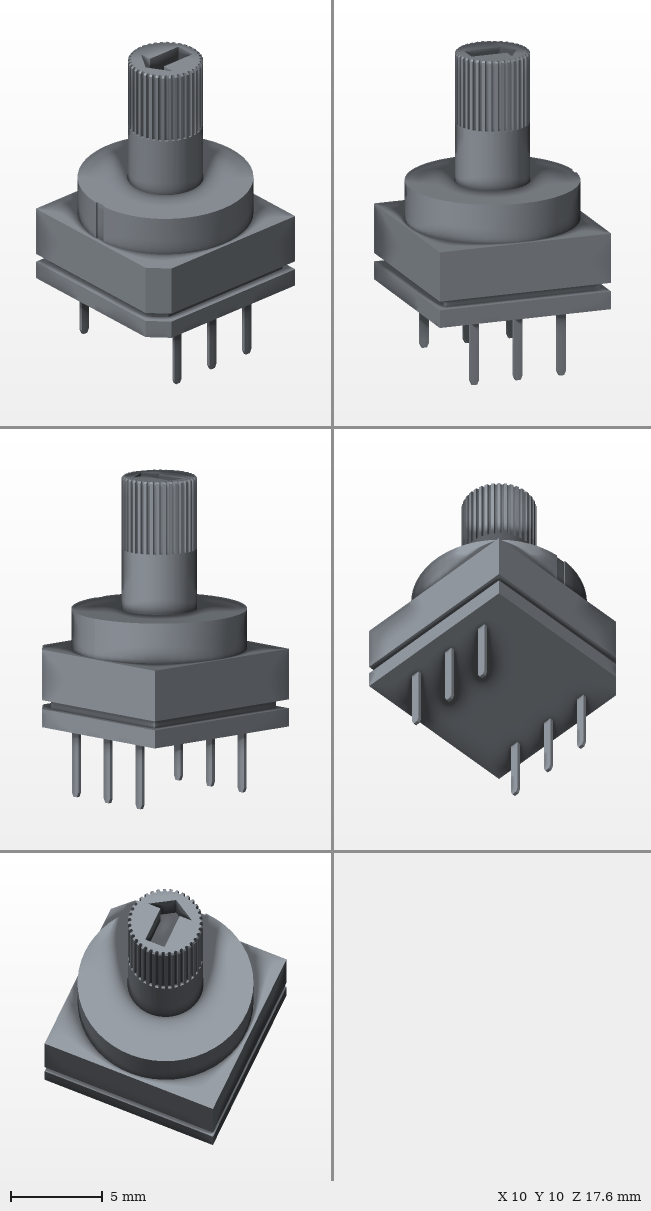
import cadquery as cq

body_side = 10.0
corner_cut = 1.0
base_height = 1.0
groove_height = 0.5
groove_depth = 0.5
block_height = 2.8

dial_diameter = 9.57
dial_height = 2.2
notch_width = 0.6
notch_depth = 0.1

shaft_diameter = 4.1
shaft_hole_diameter = 4.15
plain_shaft_height = 3.3
total_height = 17.6
shaft_chamfer = 0.09

flute_count = 36
flute_width = 0.2
flute_depth = 0.2

arrow_length = 2.89
arrow_stem_width = 1.15
arrow_head_width = 2.6
arrow_head_length = 0.81
arrow_depth = 1.5

pin_thickness = 0.2
pin_width = 0.51
pin_length = 3.8
pin_tip_width = 0.28
pin_tip_height = 0.25
pin_pitch = 2.53
pin_row_spacing = 7.6
pins_per_row = 3

base_bottom = pin_length
groove_bottom = base_bottom + base_height
block_bottom = groove_bottom + groove_height
block_top = block_bottom + block_height
dial_top = block_top + dial_height
knurl_bottom = dial_top + plain_shaft_height
shaft_radius = shaft_diameter / 2


def housing_layer(bottom, height, inset=0):
    """Square slab with the +X -Y corner cut off; the inset shrinks it evenly on all sides."""
    half = body_side / 2
    outline = cq.Workplane("XY", origin=(0, 0, bottom)).polyline([
        (-half, -half),
        (half - corner_cut, -half),
        (half, -half + corner_cut),
        (half, half),
        (-half, half),
    ]).close()
    if inset:
        outline = outline.offset2D(-inset)
    return outline.extrude(height)


def make_housing():
    base = housing_layer(base_bottom, base_height)
    waist = housing_layer(groove_bottom, groove_height, groove_depth)
    block = housing_layer(block_bottom, block_height)
    return base.union(waist).union(block)


def make_dial():
    """Disc with a shaft clearance hole and a shallow index notch on the -Y rim."""
    disc = (
        cq.Workplane("XY", origin=(0, 0, block_top))
        .circle(dial_diameter / 2)
        .circle(shaft_hole_diameter / 2)
        .extrude(dial_height)
    )
    notch = (
        cq.Workplane("XY", origin=(0, -dial_diameter / 2, block_top))
        .rect(notch_width, 2 * notch_depth)
        .extrude(dial_height)
    )
    return disc.cut(notch)


def make_flutes():
    """All knurl flutes: U-shaped channels open to the shaft surface and its end."""
    floor_round = flute_width / 2
    arc_center = shaft_radius - flute_depth + floor_round
    outside = shaft_radius + flute_depth
    knurl_height = total_height - knurl_bottom
    flute = (
        cq.Workplane("XY", origin=(0, 0, knurl_bottom))
        .moveTo(outside, -floor_round)
        .lineTo(arc_center, -floor_round)
        .threePointArc((arc_center - floor_round, 0), (arc_center, floor_round))
        .lineTo(outside, floor_round)
        .close()
        .extrude(knurl_height)
    )
    flutes = cq.Workplane("XY")
    for index in range(flute_count):
        turned = flute.rotate((0, 0, 0), (0, 0, 1), index * 360 / flute_count)
        flutes = flutes.add(turned)
    return flutes.combine()


def make_arrow():
    """Recess shaped like an arrow that points toward -Y."""
    tail_y = arrow_length / 2
    head_y = arrow_head_length - arrow_length / 2
    stem_x = arrow_stem_width / 2
    head_x = arrow_head_width / 2
    return (
        cq.Workplane("XY", origin=(0, 0, total_height))
        .polyline([
            (-stem_x, tail_y),
            (stem_x, tail_y),
            (stem_x, head_y),
            (head_x, head_y),
            (0, -tail_y),
            (-head_x, head_y),
            (-stem_x, head_y),
        ])
        .close()
        .extrude(-arrow_depth)
    )


def make_shaft():
    shaft = (
        cq.Workplane("XY", origin=(0, 0, block_top))
        .circle(shaft_radius)
        .extrude(total_height - block_top)
        .faces(">Z")
        .chamfer(shaft_chamfer)
    )
    return shaft.cut(make_flutes()).cut(make_arrow())


def make_pin(x, y):
    """Flat pin, wide along Y, narrowing toward its tip."""
    return (
        cq.Workplane("YZ", origin=(x - pin_thickness / 2, y, 0))
        .polyline([
            (-pin_tip_width / 2, 0),
            (pin_tip_width / 2, 0),
            (pin_width / 2, pin_tip_height),
            (pin_width / 2, pin_length),
            (-pin_width / 2, pin_length),
            (-pin_width / 2, pin_tip_height),
        ])
        .close()
        .extrude(pin_thickness)
    )


result = make_housing().union(make_dial()).union(make_shaft())
for row_side in (-1, 1):
    for position in range(pins_per_row):
        pin_y = (position - (pins_per_row - 1) / 2) * pin_pitch
        result = result.union(make_pin(row_side * pin_row_spacing / 2, pin_y))